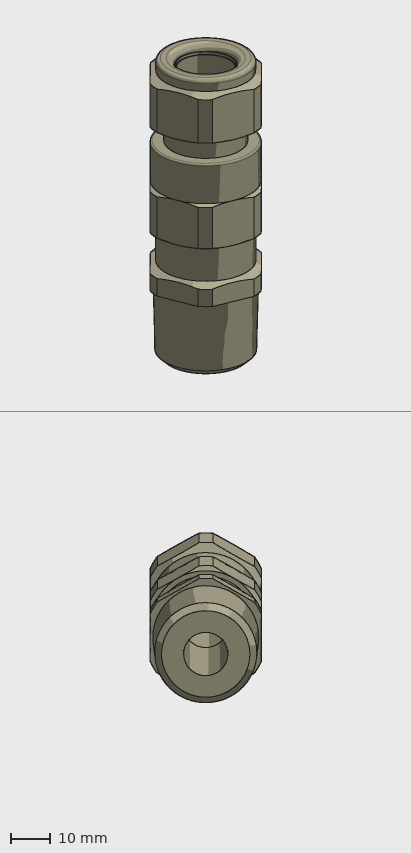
import cadquery as cq
import math


HEX_ACROSS_FLATS = 28.0
HEX_CORNER_RADIUS = 15.25
HEX_CHAMFER_ANGLE = 22

THREAD_TIP_TOP_Z = 1.65
ENTRY_HEX_Z = 20.7
ENTRY_HEX_TOP_Z = 26.6
SLEEVE_Z = 36.4
SLEEVE_HEX_TOP_Z = 48.9
COLLAR_TOP_Z = 59.9
CAP_Z = 65.3
CAP_HEX_TOP_Z = 79.6
TOP_Z = 82.9

THREAD_TIP_RADIUS = 11.1
THREAD_LOW_RADIUS = 12.85
THREAD_HIGH_RADIUS = 13.35
SHANK_RADIUS = 12.7
ENTRY_BORE_RADIUS = 5.55

COLLAR_RADIUS = HEX_ACROSS_FLATS / 2
COLLAR_FILLET = 0.5
NECK_RADIUS = 10.6
SLEEVE_BORE_RADIUS = 6.5

BORE_CHAMFER = 0.7

CAP_RIM_RADIUS = 12.6
CAP_RIM_FILLET = 1.2
CAP_BORE_RADIUS = 7.5
MOUTH_ROUND = 2.0
LIP_STEP = 0.25
LIP_HEIGHT = 0.75
LIP_RADIUS = CAP_BORE_RADIUS + LIP_STEP
MOUTH_THROAT_RADIUS = LIP_RADIUS + LIP_STEP


def revolve_profile(profile):
    """Turn a closed (radius, z) profile about the Z axis."""
    return profile.close().revolve(360, (0, 0, 0), (0, 1, 0))


def cylinder(radius, bottom_z, top_z):
    return cq.Workplane("XY").workplane(offset=bottom_z).circle(radius).extrude(top_z - bottom_z)


def hexagon(bottom_z, top_z, top_face_radius, bottom_face_radius=None):
    """Hexagon with rounded corners and flats facing +-X, chamfered down to the given end-face radii.

    Without a bottom face radius the lower end stays unchamfered.
    """
    slope = math.tan(math.radians(HEX_CHAMFER_ANGLE))
    top_drop = (HEX_CORNER_RADIUS - top_face_radius) * slope
    envelope = cq.Workplane("XZ").moveTo(0, bottom_z)
    if bottom_face_radius is None:
        envelope = envelope.lineTo(HEX_CORNER_RADIUS, bottom_z)
    else:
        bottom_rise = (HEX_CORNER_RADIUS - bottom_face_radius) * slope
        envelope = (
            envelope.lineTo(bottom_face_radius, bottom_z)
            .lineTo(HEX_CORNER_RADIUS, bottom_z + bottom_rise)
        )
    envelope = (
        envelope.lineTo(HEX_CORNER_RADIUS, top_z - top_drop)
        .lineTo(top_face_radius, top_z)
        .lineTo(0, top_z)
    )
    across_corners = HEX_ACROSS_FLATS / math.cos(math.pi / 6)
    prism = (
        cq.Workplane("XY")
        .workplane(offset=bottom_z)
        .transformed(rotate=(0, 0, 90))
        .polygon(6, across_corners)
        .extrude(top_z - bottom_z)
    )
    return prism.intersect(revolve_profile(envelope))


def bevelled_bore(radius, bottom_z, top_z):
    """Cutter for a through bore with a 45 degree bevel at its upper mouth."""
    return revolve_profile(
        cq.Workplane("XZ")
        .moveTo(0, bottom_z)
        .lineTo(radius, bottom_z)
        .lineTo(radius, top_z - BORE_CHAMFER)
        .lineTo(radius + BORE_CHAMFER, top_z)
        .lineTo(0, top_z)
    )


def make_entry_body():
    thread = revolve_profile(
        cq.Workplane("XZ")
        .moveTo(0, 0)
        .lineTo(THREAD_TIP_RADIUS, 0)
        .lineTo(THREAD_LOW_RADIUS, THREAD_TIP_TOP_Z)
        .lineTo(THREAD_HIGH_RADIUS, ENTRY_HEX_Z)
        .lineTo(0, ENTRY_HEX_Z)
    )
    nut = hexagon(ENTRY_HEX_Z, ENTRY_HEX_TOP_Z, SHANK_RADIUS)
    shank = cylinder(SHANK_RADIUS, ENTRY_HEX_TOP_Z, SLEEVE_Z)
    return thread.union(nut).union(shank).cut(bevelled_bore(ENTRY_BORE_RADIUS, 0, SLEEVE_Z))


def make_sleeve():
    nut = hexagon(SLEEVE_Z, SLEEVE_HEX_TOP_Z, COLLAR_RADIUS, COLLAR_RADIUS)
    collar = cylinder(COLLAR_RADIUS, SLEEVE_HEX_TOP_Z, COLLAR_TOP_Z).faces(">Z").edges().fillet(COLLAR_FILLET)
    neck = cylinder(NECK_RADIUS, COLLAR_TOP_Z, CAP_Z)
    return nut.union(collar).union(neck).cut(bevelled_bore(SLEEVE_BORE_RADIUS, SLEEVE_Z, CAP_Z))


def make_cap_bore():
    """Cutter for the cap bore: two small ledges under a rounded, flaring mouth."""
    throat_z = TOP_Z - MOUTH_ROUND
    lip_z = throat_z - LIP_HEIGHT
    mouth_radius = MOUTH_THROAT_RADIUS + MOUTH_ROUND
    arc_offset = MOUTH_ROUND * math.sqrt(0.5)
    return revolve_profile(
        cq.Workplane("XZ")
        .moveTo(0, CAP_Z)
        .lineTo(CAP_BORE_RADIUS, CAP_Z)
        .lineTo(CAP_BORE_RADIUS, lip_z)
        .lineTo(LIP_RADIUS, lip_z)
        .lineTo(LIP_RADIUS, throat_z)
        .lineTo(MOUTH_THROAT_RADIUS, throat_z)
        .threePointArc((mouth_radius - arc_offset, throat_z + arc_offset), (mouth_radius, TOP_Z))
        .lineTo(0, TOP_Z)
    )


def make_cap_nut():
    nut = hexagon(CAP_Z, CAP_HEX_TOP_Z, CAP_RIM_RADIUS, CAP_RIM_RADIUS)
    rim = cylinder(CAP_RIM_RADIUS, CAP_HEX_TOP_Z, TOP_Z).faces(">Z").edges().fillet(CAP_RIM_FILLET)
    return nut.union(rim).cut(make_cap_bore())


entry_body = make_entry_body()
sleeve = make_sleeve()
cap_nut = make_cap_nut()

result = cq.Compound.makeCompound([entry_body.val(), sleeve.val(), cap_nut.val()])